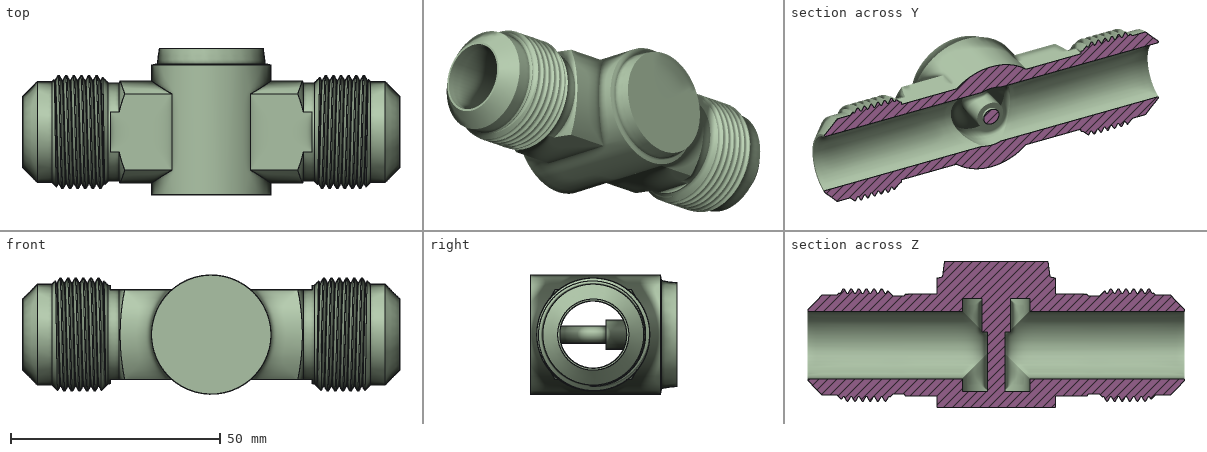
import cadquery as cq
import math

body_diameter = 28.5
body_front_y = -15.0
body_shoulder_y = 16.0
shoulder_bevel = 0.3
plug_base_diameter = 25.8
plug_end_diameter = 24.8
plug_end_y = 20.0

run_length = 90.0
bore_diameter = 16.0
nose_mouth_diameter = 17.0
nose_diameter = 24.1
nose_taper_length = 3.5
nose_length = 7.0

thread_diameter = 26.99
thread_pitch = 25.4 / 14
thread_depth = 1.15
thread_root_flat = 0.2
thread_flank_angle = 30.0
thread_end_x = -24.6
thread_groove_start_x = -39.6
thread_groove_turns = 8.5
thread_groove_overlap = 0.15

neck_diameter = 23.5
flat_height = 21.5
flat_half_width = 9.1
block_half_width = 12.2
block_end_x = -22.0
flat_end_x = -24.1
block_bevel_angle = 30.0

pin_head_diameter = 7.0
pin_stem_diameter = 4.2
pin_shoulder_y = 3.0

chamber_half_length = 11.0
pin_embedment = 1.0

end_x = -run_length / 2
thread_start_x = end_x + nose_length
pin_reach = chamber_half_length + pin_embedment


def cylinder_y(diameter, y_start, y_end):
    """Solid cylinder on the Y axis between two Y positions."""
    return (
        cq.Workplane("XZ", origin=(0, y_start, 0))
        .circle(diameter / 2)
        .extrude(y_start - y_end)
    )


def revolve_about_x(profile_points):
    """Solid of revolution about X from (x, radius) points."""
    return (
        cq.Workplane("XY")
        .polyline(profile_points)
        .close()
        .revolve(360, (0, 0, 0), (1, 0, 0))
    )


def make_body():
    radius = body_diameter / 2
    return (
        cq.Workplane("XY")
        .moveTo(0, body_front_y)
        .lineTo(radius, body_front_y)
        .lineTo(radius, body_shoulder_y)
        .lineTo(plug_base_diameter / 2, body_shoulder_y + shoulder_bevel)
        .lineTo(plug_end_diameter / 2, plug_end_y)
        .lineTo(0, plug_end_y)
        .close()
        .revolve(360, (0, 0, 0), (0, 1, 0))
    )


def make_thread_groove():
    """Helical V groove winding along +X."""
    outer_radius = thread_diameter / 2
    root_radius = outer_radius - thread_depth
    clear_radius = outer_radius + thread_groove_overlap
    root_half = thread_root_flat / 2
    mouth_half = root_half + thread_depth * math.tan(math.radians(thread_flank_angle))
    helix = cq.Wire.makeHelix(thread_pitch, thread_pitch * thread_groove_turns, root_radius)
    groove = (
        cq.Workplane("XZ")
        .polyline([
            (root_radius, -root_half),
            (outer_radius, -mouth_half),
            (clear_radius, -mouth_half),
            (clear_radius, mouth_half),
            (outer_radius, mouth_half),
            (root_radius, root_half),
        ])
        .close()
        .sweep(cq.Workplane(helix), isFrenet=True)
    )
    return groove.rotate((0, 0, 0), (0, 1, 0), 90).translate((thread_groove_start_x, 0, 0))


def make_threaded_end():
    """Tapered nose and thread on the -X side, ending at the neck."""
    nose_radius = nose_diameter / 2
    neck_radius = neck_diameter / 2
    thread_radius = thread_diameter / 2
    blank = revolve_about_x([
        (end_x, 0),
        (end_x, nose_mouth_diameter / 2),
        (end_x + nose_taper_length, nose_radius),
        (thread_start_x, nose_radius),
        (thread_start_x + thread_radius - nose_radius, thread_radius),
        (thread_end_x - thread_radius + neck_radius, thread_radius),
        (thread_end_x, neck_radius),
        (thread_end_x, 0),
    ])
    return blank.cut(make_thread_groove())


def make_neck_and_block():
    """Neck with two flats and the wrench block with bowed sides, on the -X side."""
    half_height = flat_height / 2
    block = (
        cq.Workplane("YZ", origin=(block_end_x, 0, 0))
        .moveTo(-flat_half_width, -half_height)
        .lineTo(flat_half_width, -half_height)
        .threePointArc((block_half_width, 0), (flat_half_width, half_height))
        .lineTo(-flat_half_width, half_height)
        .threePointArc((-block_half_width, 0), (-flat_half_width, -half_height))
        .close()
        .extrude(-block_end_x)
    )

    neck_radius = neck_diameter / 2
    clear_radius = body_diameter / 2
    bevel_length = (clear_radius - neck_radius) * math.tan(math.radians(block_bevel_angle))
    bevel_envelope = revolve_about_x([
        (block_end_x, 0),
        (block_end_x, neck_radius),
        (block_end_x + bevel_length, clear_radius),
        (0, clear_radius),
        (0, 0),
    ])
    block = block.intersect(bevel_envelope)

    round_neck = cq.Workplane("YZ", origin=(thread_end_x, 0, 0)).circle(neck_radius)
    round_neck = round_neck.extrude(flat_end_x - thread_end_x)
    flat_neck = cq.Workplane("YZ", origin=(flat_end_x, 0, 0)).circle(neck_radius)
    flat_neck = flat_neck.extrude(block_end_x - flat_end_x)
    flat_neck = flat_neck.intersect(cq.Workplane("XY").box(run_length, neck_diameter, flat_height))
    return block.union(round_neck).union(flat_neck)


def make_pin():
    head = cylinder_y(pin_head_diameter, pin_shoulder_y, pin_reach)
    stem = cylinder_y(pin_stem_diameter, -pin_reach, pin_shoulder_y)
    return head.union(stem)


def make_passages():
    """Through bore along X and the closed chamber crossing it along Y."""
    bore = cq.Workplane("YZ", origin=(end_x, 0, 0)).circle(bore_diameter / 2).extrude(run_length)
    chamber = cylinder_y(bore_diameter, -chamber_half_length, chamber_half_length)
    return bore.union(chamber)


run_end = make_neck_and_block().union(make_threaded_end())
result = make_body().union(run_end).union(run_end.mirror("YZ"))
result = result.cut(make_passages()).union(make_pin())